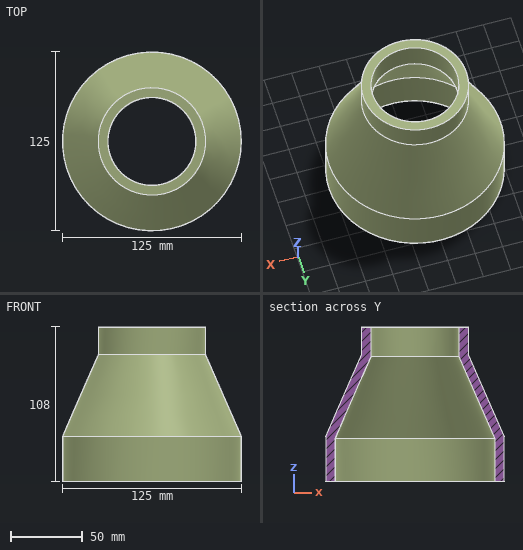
import cadquery as cq
import math

wide_diameter = 125.0
neck_diameter = 75.0
neck_bore = 61.2
total_height = 108.0
wide_height = 31.8
neck_height = 19.2

wall = (neck_diameter - neck_bore) / 2
wide_bore = wide_diameter - 2 * wall
neck_start = total_height - neck_height
cone_angle = math.atan2((wide_diameter - neck_diameter) / 2, neck_start - wide_height)
bend_drop = wall * math.tan(cone_angle / 2)


def stepped_cone(lower_diameter, upper_diameter, cone_bottom, cone_top):
    """Solid with a straight wide end, a conical middle and a straight neck."""
    lower_radius = lower_diameter / 2
    upper_radius = upper_diameter / 2
    profile = (
        cq.Workplane("XZ")
        .moveTo(0, 0)
        .lineTo(lower_radius, 0)
        .lineTo(lower_radius, cone_bottom)
        .lineTo(upper_radius, cone_top)
        .lineTo(upper_radius, total_height)
        .lineTo(0, total_height)
        .close()
    )
    return profile.revolve(360, (0, 0, 0), (0, 1, 0))


outer_body = stepped_cone(wide_diameter, neck_diameter, wide_height, neck_start)
flow_passage = stepped_cone(wide_bore, neck_bore, wide_height - bend_drop, neck_start - bend_drop)
result = outer_body.cut(flow_passage)